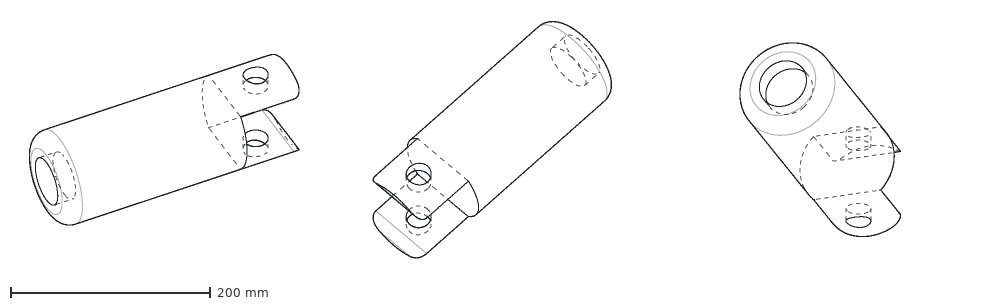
import cadquery as cq

length = 270.0
diameter = 100.0
nose_radius = 15.0
bore_diameter = 50.0
bore_depth = 20.0
slot_length = 70.0
slot_gap = 70.0
tip_radius = 10.0
pin_diameter = 25.0
pin_setback = 35.0


def make_body():
    """Round bar along +Y with a rounded nose at Y = 0."""
    bar = cq.Workplane("XZ").circle(diameter / 2).extrude(-length)
    return bar.faces("<Y").edges().fillet(nose_radius)


def make_bore():
    """Blind round recess in the nose."""
    return cq.Workplane("XZ").circle(bore_diameter / 2).extrude(-bore_depth)


def make_slot():
    """Fork opening across X, flaring out by a radius at the tip of each lug."""
    half_gap = slot_gap / 2
    flared_half_gap = half_gap + tip_radius
    return (
        cq.Workplane("YZ")
        .moveTo(length - slot_length, -half_gap)
        .lineTo(length - tip_radius, -half_gap)
        .radiusArc((length, -flared_half_gap), tip_radius)
        .lineTo(length, flared_half_gap)
        .radiusArc((length - tip_radius, half_gap), tip_radius)
        .lineTo(length - slot_length, half_gap)
        .close()
        .extrude(diameter, both=True)
    )


def make_pin_hole():
    """Round hole along Z through both lugs."""
    return (
        cq.Workplane("XY")
        .center(0, length - pin_setback)
        .circle(pin_diameter / 2)
        .extrude(diameter, both=True)
    )


result = make_body().cut(make_bore()).cut(make_slot()).cut(make_pin_hole())